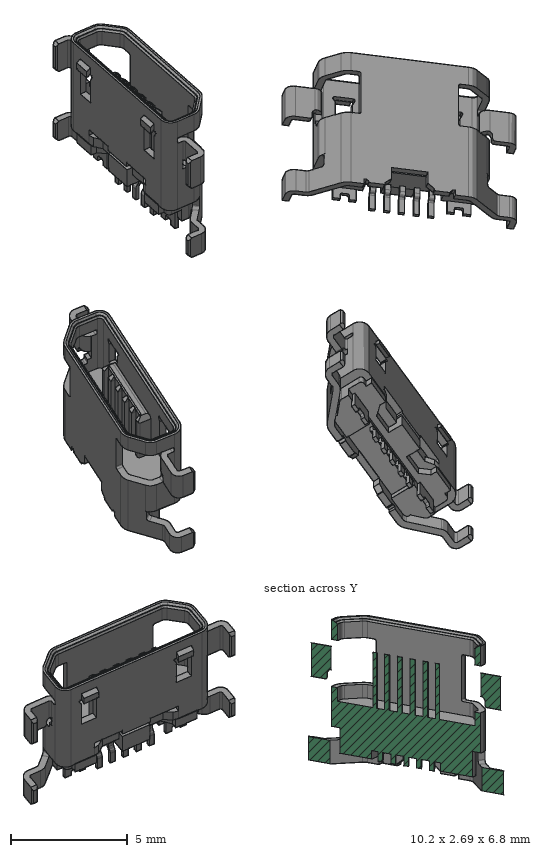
import math

import cadquery as cq


overall_width = 10.2
height = 6.8
half_width = 3.77
half_depth = 1.25
wall = 0.31
front_radius = 0.5
back_radius = 0.6
slope_start_x = 2.83
slope_end_y = 0.38
shell_bottom = 2.01
foot_bottom = 0.32
skirt_bottom = 1.48
relief_back_y = 0.53
relief_radius = 0.15
rim_land = 0.1
lead_in_ledge_outer = 0.2
lead_in_ledge_inner = 0.23
lead_in_bevel_depth = 0.08

window_bottom = 3.81
window_top = 5.9
window_half_x = 2.157
window_corner = 0.09
upper_slit_y = -0.735
lower_slit_y = -0.26
slit_radius = 0.09

ear_thickness = 0.29
ear_bend_radius = 0.39
ear_inner_radius = 0.1
ear_tip_y = -1.07
tip_corner = 0.14
tip_bevel = 0.06
tip_bevel_length = 0.08
upper_ear_y = -0.085
upper_ear_bottom = 4.09
upper_ear_top = 5.6
root_radius = 0.08
root_relief_top = 4.55
root_relief_outer_x = 3.98
root_relief_reach = root_relief_outer_x - half_width
root_relief_radius = 0.12
root_center_y = upper_ear_y - root_radius - ear_thickness
lower_ear_y = -0.02
lower_ear_top = 1.39
lower_ear_bend_radius = 0.47
lower_ear_root_y = 0.8

latch_x = 2.375
latch_width = 0.75
latch_bottom = 4.34
latch_shoulder = 5.57
latch_wing = 5.78
latch_top = 5.85
latch_wing_reach = 0.12
tab_reach = 0.19
tab_top = 6.25
tab_lip_top = 6.12
tab_lip_bottom = 5.78
tab_root_bottom = 5.89

cutout_half_x = 2.11
cutout_top = 2.81
cutout_radius = 0.08
center_half_x = 0.69
center_tongue_bottom = 2.59

floor_z = 3.2
skirt_half_x = 3.36
skirt_radius = 0.17
pad_front_y = -1.22
pad_outer_x = 3.05
pad_inner_x = 1.98
pocket_back_x = 1.62
pocket_back_y = -0.53
block_top = 2.4
wedge_top = 2.5
wedge_inner_x = 1.51
wedge_bend_x = 1.86
wedge_bend_y = -1.19
body_front_y = -0.23
body_bottom = 0.87
body_notch_half_x = 1.73
body_notch_top = 1.24

back_notch_half_x = 0.8
back_notch_top = 1.3
back_slope_bottom = 0.74
back_slope_x = 1.09
back_slope_end = 0.5
back_foot_bottom = 0.41
back_step_x = 1.9
back_step_z = 0.56
back_step_chamfer = 0.1

leg_outer_x = 3.05
leg_inner_x = 2.01
leg_arch_x = 2.52
leg_arch_half_width = 0.2
leg_arch_height = 0.28
leg_arch_radius = 0.09

tongue_half_x = 1.71
tongue_back_y = -0.05
tongue_front_y = -0.665
tongue_top = 5.86
tongue_side_bevel = 0.165
tongue_side_bevel_depth = 0.27
tongue_back_chamfer = 0.22
tongue_back_radius = 0.1
tongue_tip_radius = 0.16
groove_floor_y = -0.25
groove_end_x = 1.47
groove_bevel = 0.06
rib_width = 0.26

pin_pitch = 0.65
pin_width = 0.25
pin_count = 5
pin_front_y = -0.36
pin_thickness = 0.17
pin_jog = 0.14
jog_bottom = 0.72
jog_top = jog_bottom + pin_jog
jog_inner_radius = 0.1
jog_outer_radius = jog_inner_radius + pin_thickness

front_y = -half_depth
back_y = half_depth
inner_front_y = front_y + wall
half_overall = overall_width / 2
slope = (back_y - slope_end_y) / (half_width - slope_start_x)
BOTH_SIDES = (-1, 1)


def box(x_range, y_range, z_range):
    """Axis-aligned block given by its limits."""
    size = [limits[1] - limits[0] for limits in (x_range, y_range, z_range)]
    corner = (x_range[0], y_range[0], z_range[0])
    return cq.Workplane("XY").box(*size, centered=False).translate(corner)


def plan_prism(points, z_range):
    """Upright prism over an outline in plan."""
    outline = cq.Workplane("XY").workplane(offset=z_range[0]).polyline(points).close()
    return outline.extrude(z_range[1] - z_range[0])


def front_prism(points, y_range):
    """Prism along Y over an outline in X and Z."""
    outline = cq.Workplane("XZ", origin=(0, y_range[0], 0)).polyline(points).close()
    return outline.extrude(y_range[0] - y_range[1])


def side_prism(points, x_range):
    """Prism along X over an outline in Y and Z."""
    outline = cq.Workplane("YZ", origin=(x_range[0], 0, 0)).polyline(points).close()
    return outline.extrude(x_range[1] - x_range[0])


def fillet_at(solid, point, radius):
    """Round the edge whose middle is nearest to a point."""
    return solid.edges(cq.NearestToPointSelector(point)).fillet(radius)


def both_sides(solid):
    """The solid joined with its mirror image in X."""
    return solid.union(solid.mirror("YZ"))


def envelope(inset, z_range):
    """Solid filling the shell outline, shrunk by the inset."""
    miter = inset * (math.sqrt(1 + slope**2) - 1) / slope
    side_miter = inset * (math.sqrt(1 + slope**2) - slope)
    x_side = half_width - inset
    x_back = slope_start_x - miter
    y_side = slope_end_y - side_miter
    points = [
        (-x_side, front_y + inset),
        (x_side, front_y + inset),
        (x_side, y_side),
        (x_back, back_y - inset),
        (-x_back, back_y - inset),
        (-x_side, y_side),
    ]
    solid = plan_prism(points, z_range)
    solid = solid.edges("|Z").edges("not <Y").fillet(back_radius - inset)
    return solid.edges("|Z").edges("<Y").fillet(front_radius - inset)


def flare(lower_inset, upper_inset, z_range):
    """Tapered solid between two insets of the shell outline."""
    lower = envelope(lower_inset, z_range).faces("<Z").wires().val()
    upper = envelope(upper_inset, z_range).faces(">Z").wires().val()
    return cq.Workplane(cq.Solid.makeLoft([lower, upper], True))


def cut_lead_in(shell):
    """Widen the mouth with two bevels parted by a narrow level ledge."""
    ledge = height - lead_in_bevel_depth
    shell = shell.cut(flare(lead_in_ledge_outer, rim_land, (ledge, height)))
    return shell.cut(flare(wall, lead_in_ledge_inner, (ledge - lead_in_bevel_depth, ledge)))


def cut_front_cutout(shell):
    """Open the lower front wall, leaving a short tongue in the middle."""
    cutter = box((-cutout_half_x, cutout_half_x), (front_y, inner_front_y), (foot_bottom, cutout_top))
    cutter = cutter.edges("|Y").edges(">Z").fillet(cutout_radius)
    tongue = box(
        (-center_half_x, center_half_x), (front_y, inner_front_y), (center_tongue_bottom, cutout_top)
    )
    return shell.cut(cutter.cut(tongue))


def cut_lower_edge(shell):
    """Stop the front and sides at the shell bottom and shape the lower edge of the back wall."""
    front = box((-half_width, half_width), (front_y, lower_ear_root_y), (foot_bottom, shell_bottom))
    shell = shell.cut(front)
    half_edge = [
        (back_notch_half_x, back_notch_top),
        (back_notch_half_x, back_slope_bottom),
        (back_slope_x, back_slope_end),
        (back_slope_x, back_foot_bottom),
        (back_step_x - back_step_chamfer, back_foot_bottom),
        (back_step_x - back_step_chamfer, back_step_z - back_step_chamfer),
        (back_step_x, back_step_z),
        (leg_inner_x, back_step_z),
        (leg_inner_x, foot_bottom),
    ]
    mirrored = [(-x, z) for x, z in reversed(half_edge)]
    return shell.cut(front_prism(half_edge + mirrored, (relief_back_y, back_y)))


def cut_side_windows(shell):
    """Open each back corner and side wall where the upper ear is folded out."""
    outer = half_width
    back = box((window_half_x, outer), (upper_ear_y, back_y), (window_bottom, window_top))
    back = back.edges("|Y").edges("<X").fillet(window_corner)
    ear_blank = box((0, outer), (root_center_y, 0), (upper_ear_bottom, upper_ear_top))
    upper_slit = box((0, outer), (upper_slit_y, 0), (upper_ear_top, window_top))
    upper_slit = upper_slit.edges("|X").edges("<Y").fillet(slit_radius)
    lower_slit = box((0, outer), (lower_slit_y, 0), (window_bottom, upper_ear_bottom))
    lower_slit = lower_slit.edges("|X").edges("<Y and <Z").fillet(slit_radius)
    sheet = box((half_width - wall, outer), (front_y, back_y), (window_bottom, window_top))
    cutter = ear_blank.union(upper_slit).union(lower_slit).intersect(sheet).union(back)
    return shell.cut(both_sides(cutter))


def make_latches(shell):
    """Cut the two latch openings and add the tab that leans out above each."""
    half = latch_width / 2
    right_edge = [
        (half, latch_bottom),
        (half, latch_shoulder),
        (half + latch_wing_reach, latch_wing),
        (half + latch_wing_reach / 2, latch_top),
    ]
    left_edge = [(-x, z) for x, z in reversed(right_edge)]
    opening = front_prism(right_edge + left_edge, (front_y, inner_front_y))
    tab_profile = [
        (inner_front_y, tab_top),
        (front_y, tab_top),
        (front_y - tab_reach, tab_lip_top),
        (front_y - tab_reach, tab_lip_bottom),
        (front_y, tab_root_bottom),
        (inner_front_y, tab_root_bottom),
    ]
    tab = side_prism(tab_profile, (-half, half))
    for side in BOTH_SIDES:
        place = (side * latch_x, 0, 0)
        shell = shell.cut(opening.translate(place)).union(tab.translate(place))
    return shell


def finish_ear(ear, z_range):
    """Clip the corners of the ear tip and bevel its faces towards the end."""
    bottom, top = z_range
    for z, inward in ((bottom, 1), (top, -1)):
        corner = [(ear_tip_y, z), (ear_tip_y + tip_corner, z), (ear_tip_y, z + inward * tip_corner)]
        ear = ear.cut(side_prism(corner, (half_width, half_overall)))
    inner_x = half_overall - ear_thickness
    for x, inward in ((inner_x, 1), (half_overall, -1)):
        corner = [(x, ear_tip_y), (x, ear_tip_y + tip_bevel_length), (x + inward * tip_bevel, ear_tip_y)]
        ear = ear.cut(plan_prism(corner, z_range))
    return ear


def ear_leg(start_x, plate_y, z_range):
    """Plate reaching out from start_x and bent down to a leg pointing at -Y."""
    inner_x = half_overall - ear_thickness
    points = [
        (start_x, plate_y),
        (half_overall, plate_y),
        (half_overall, ear_tip_y),
        (inner_x, ear_tip_y),
        (inner_x, plate_y - ear_thickness),
        (start_x, plate_y - ear_thickness),
    ]
    ear = plan_prism(points, z_range)
    middle_z = sum(z_range) / 2
    ear = fillet_at(ear, (half_overall, plate_y, middle_z), ear_bend_radius)
    ear = fillet_at(ear, (inner_x, plate_y - ear_thickness, middle_z), ear_inner_radius)
    return finish_ear(ear, z_range)


def upper_ear():
    """Ear folded out of the side wall above the middle of the shell."""
    z_range = (upper_ear_bottom, upper_ear_top)
    root_x = half_width + root_radius
    ear = ear_leg(root_x, upper_ear_y, z_range)
    middle = math.sqrt(0.5)
    outer_radius = root_radius + ear_thickness
    root = (
        cq.Workplane("XY", origin=(root_x, root_center_y, z_range[0]))
        .moveTo(0, outer_radius)
        .threePointArc((-outer_radius * middle, outer_radius * middle), (-outer_radius, 0))
        .lineTo(-root_radius, 0)
        .threePointArc((-root_radius * middle, root_radius * middle), (0, root_radius))
        .close()
        .extrude(z_range[1] - z_range[0])
    )
    relief = (
        cq.Workplane("XZ", origin=(0, upper_ear_y, 0))
        .moveTo(half_width - wall, upper_ear_bottom)
        .lineTo(root_relief_outer_x + root_relief_radius, upper_ear_bottom)
        .radiusArc((root_relief_outer_x, upper_ear_bottom + root_relief_radius), root_relief_radius)
        .lineTo(root_relief_outer_x, root_relief_top - root_relief_reach)
        .radiusArc((half_width, root_relief_top), -root_relief_reach)
        .lineTo(half_width - wall, root_relief_top)
        .close()
        .extrude(upper_ear_y - front_y)
    )
    return ear.union(root).cut(relief)


def add_lower_ear(shell):
    """Add the ear that continues the sloped wall below the relief and then bends level."""
    z_range = (foot_bottom, lower_ear_top)
    length = math.sqrt(1 + slope**2)

    def outer_x(y):
        return slope_start_x + (back_y - y) / slope

    def inner_x(y):
        return outer_x(y) - wall * length / slope

    inner_y = lower_ear_y - ear_thickness
    ear = ear_leg(inner_x(inner_y), lower_ear_y, z_range)
    strip = [
        (outer_x(lower_ear_root_y), lower_ear_root_y),
        (outer_x(lower_ear_y), lower_ear_y),
        (inner_x(inner_y), inner_y),
        (inner_x(lower_ear_root_y), lower_ear_root_y),
    ]
    ear = ear.union(plan_prism(strip, z_range))
    middle_z = sum(z_range) / 2
    ear = fillet_at(ear, (inner_x(inner_y), inner_y, middle_z), lower_ear_bend_radius)
    outer_bend = (outer_x(lower_ear_y), lower_ear_y, middle_z)
    ear = fillet_at(ear, outer_bend, lower_ear_bend_radius - ear_thickness)

    end_outer = (outer_x(relief_back_y), relief_back_y)
    end_inner = (end_outer[0] - wall * slope / length, relief_back_y - wall / length)
    neck_outline = [strip[0], end_outer, end_inner, strip[3]]
    neck = plan_prism(neck_outline, (lower_ear_top, shell_bottom))
    neck_middle = ((end_outer[0] + end_inner[0]) / 2, (end_outer[1] + end_inner[1]) / 2)
    ear = ear.union(neck).union(shell)
    for z in (lower_ear_top, shell_bottom):
        ear = fillet_at(ear, (*neck_middle, z), relief_radius)
    return ear


def make_shell():
    """Sheet-metal shell with its openings, latches and ears."""
    full = (foot_bottom, height)
    shell = envelope(0, full).cut(envelope(wall, full))
    shell = cut_lead_in(shell)
    shell = cut_lower_edge(shell)
    shell = cut_front_cutout(shell)
    shell = cut_side_windows(shell)
    shell = make_latches(shell)
    shell = shell.union(both_sides(upper_ear()))
    for _ in BOTH_SIDES:
        shell = add_lower_ear(shell).mirror("YZ")
    return shell


def housing_core(z_range):
    """Part of the housing below the shell, standing clear of the side walls but touching the back wall."""
    skirt_x = (-skirt_half_x, skirt_half_x)
    front_half = box(skirt_x, (inner_front_y, 0), z_range).edges("|Z").edges("<Y").fillet(skirt_radius)
    back_strip = box((-slope_start_x, slope_start_x), (0, back_y), z_range)
    back_half = envelope(wall, z_range).intersect(back_strip)
    return envelope(half_width - skirt_half_x, z_range).union(front_half).union(back_half)


def make_skirt():
    """Housing skirt with two front pads and slanted pockets beside a centre block."""
    z_range = (skirt_bottom, shell_bottom)
    core = housing_core(z_range)
    pads = box((-pad_outer_x, pad_outer_x), (pad_front_y, inner_front_y), z_range)
    pocket = [
        (0, pad_front_y),
        (pad_inner_x, pad_front_y),
        (pad_inner_x, inner_front_y),
        (pocket_back_x, pocket_back_y),
        (0, pocket_back_y),
    ]
    skirt = core.union(pads).cut(both_sides(plan_prism(pocket, z_range)))
    block_z = (skirt_bottom, block_top)
    return skirt.union(box((-center_half_x, center_half_x), (pad_front_y, pocket_back_y), block_z))


def make_wedges():
    """Ramps that fill the outer ends of the shell's front cut-out."""
    points = [
        (wedge_inner_x, inner_front_y),
        (cutout_half_x, inner_front_y),
        (cutout_half_x, front_y),
        (wedge_bend_x, wedge_bend_y),
    ]
    return both_sides(plan_prism(points, (shell_bottom, wedge_top)))


def make_body():
    """Lower housing between the ears, with a raised underside around the pins."""
    z_range = (body_bottom, skirt_bottom)
    body = housing_core(z_range).intersect(
        box((-skirt_half_x, skirt_half_x), (body_front_y, back_y), z_range)
    )
    notch_x = (-body_notch_half_x, body_notch_half_x)
    return body.cut(box(notch_x, (body_front_y, back_y), (body_bottom, body_notch_top)))


def make_legs():
    """Two flat legs, each with an arched notch in its foot."""
    y_range = (pin_front_y, pin_front_y + pin_thickness)
    leg = box((leg_inner_x, leg_outer_x), y_range, (foot_bottom, skirt_bottom))
    arch_x = (leg_arch_x - leg_arch_half_width, leg_arch_x + leg_arch_half_width)
    arch = box(arch_x, y_range, (foot_bottom, foot_bottom + leg_arch_height))
    return both_sides(leg.cut(arch.edges("|Y").edges(">Z").fillet(leg_arch_radius)))


def make_grooves():
    """Contact grooves along the back of the tongue, parted by ribs that narrow at the tip."""
    groove_profile = [
        (tongue_back_y, floor_z),
        (groove_floor_y, floor_z),
        (groove_floor_y, tongue_top - groove_bevel),
        (groove_floor_y - groove_bevel, tongue_top),
        (tongue_back_y, tongue_top),
    ]
    grooves = side_prism(groove_profile, (-groove_end_x, groove_end_x))
    half_rib = rib_width / 2
    rib_outline = [
        (-half_rib, floor_z),
        (half_rib, floor_z),
        (half_rib, tongue_top - tongue_back_chamfer),
        (half_rib / 2, tongue_top),
        (-half_rib / 2, tongue_top),
        (-half_rib, tongue_top - tongue_back_chamfer),
    ]
    rib = front_prism(rib_outline, (groove_floor_y, tongue_back_y))
    for index in range(pin_count - 1):
        x = (index - (pin_count - 2) / 2) * pin_pitch
        grooves = grooves.cut(rib.translate((x, 0, 0)))
    return grooves


def make_tongue():
    """Contact tongue with a chamfered tip and open grooves between ribs along its back."""
    x_range = (-tongue_half_x, tongue_half_x)
    z_range = (floor_z, tongue_top)
    tongue = box(x_range, (tongue_front_y, tongue_back_y), z_range)
    tongue = tongue.edges("|Z").edges(">Y").fillet(tongue_back_radius)
    back_bevel = [
        (tongue_back_y, tongue_top),
        (tongue_back_y - tongue_back_chamfer, tongue_top),
        (tongue_back_y, tongue_top - tongue_back_chamfer),
    ]
    tongue = tongue.cut(side_prism(back_bevel, x_range))
    tongue = tongue.edges(">Z").edges("<Y").fillet(tongue_tip_radius)
    for side in BOTH_SIDES:
        corner = [
            (side * tongue_half_x, tongue_top),
            (side * (tongue_half_x - tongue_side_bevel), tongue_top),
            (side * tongue_half_x, tongue_top - tongue_side_bevel_depth),
        ]
        tongue = tongue.cut(front_prism(corner, (tongue_front_y, tongue_back_y)))
    return tongue.cut(make_grooves())


def make_pins():
    """Row of solder pins, each with a jog towards the front."""
    rear = pin_front_y + pin_thickness
    profile = [
        (pin_front_y, 0),
        (pin_front_y, jog_bottom),
        (pin_front_y + pin_jog, jog_top),
        (pin_front_y + pin_jog, skirt_bottom),
        (rear + pin_jog, skirt_bottom),
        (rear + pin_jog, jog_top),
        (rear, jog_bottom),
        (rear, 0),
    ]
    pin = side_prism(profile, (-pin_width / 2, pin_width / 2))
    pin = fillet_at(pin, (0, pin_front_y, jog_bottom), jog_outer_radius)
    pin = fillet_at(pin, (0, pin_front_y + pin_jog, jog_top), jog_inner_radius)
    pin = fillet_at(pin, (0, rear, jog_bottom), jog_inner_radius)
    pin = fillet_at(pin, (0, rear + pin_jog, jog_top), jog_outer_radius)
    pins = cq.Workplane("XY")
    for index in range(pin_count):
        x = (index - (pin_count - 1) / 2) * pin_pitch
        pins = pins.add(pin.translate((x, 0, 0)))
    return pins.combine()


def make_housing():
    """Plastic core, legs, contact tongue and pins."""
    housing = envelope(wall, (shell_bottom, floor_z))
    for piece in (make_skirt(), make_wedges(), make_body(), make_legs(), make_tongue(), make_pins()):
        housing = housing.union(piece)
    return housing


result = cq.Workplane(make_shell().union(make_housing()).solids().val())